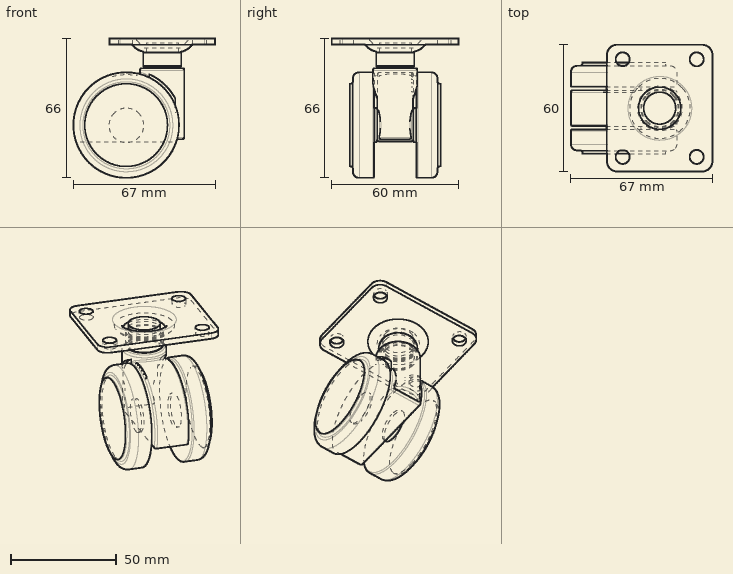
import cadquery as cq
import math


wheel_radius = 25.0
wheel_inner_y = 10.0
wheel_outer_y = 20.0
wheel_outer_fillet = 3.0
wheel_inner_fillet = 0.7
cap_outer_y = 21.6
cap_radius = 19.55
cap_base_fillet = 1.0
hub_radius = 8.2
hub_fillet = 0.8

plate_length = 2 * wheel_radius
plate_width = 60.0
plate_thickness = 3.0
plate_corner_radius = 5.0
bolt_hole_diameter = 6.5
bolt_spacing_x = 35.0
bolt_spacing_y = 46.1

overall_length = 67.0
overall_height = 66.0
swivel_x = overall_length - wheel_radius - plate_length / 2
plate_top_z = overall_height - wheel_radius
plate_bottom_z = plate_top_z - plate_thickness

dish_rim_radius = 15.1
dish_floor_radius = 10.0
dish_floor_z = 36.6
dish_shoulder_radius = 11.6
dish_shoulder_z = 39.65
dish_under_rim_radius = 14.3
dish_under_bulge_radius = 11.4
dish_under_bulge_z = 35.5
dish_under_floor_radius = 8.7
dish_under_floor_z = 34.5

pin_radius = 7.6
pin_top_z = 38.9
collar_radius = 9.05
collar_bottom_z = 27.55
collar_edge_chamfer = 0.4

drum_half_width = 8.5
housing_fillet = 1.0
joint_fillet = 0.7
column_radius = 10.5
column_top_z = 26.95
column_bottom_z = -6.7
drum_bottom_z = -7.8
wheel_clearance = 1.4


def cylinder_along_y(radius, start_y, end_y):
    """Solid cylinder on the axle between two Y positions."""
    disc = cq.Workplane("XZ", origin=(0, start_y, 0)).circle(radius)
    return disc.extrude(start_y - end_y)


def make_plate():
    """Rectangular plate with four bolt holes and a dish seated around the pin."""
    plate = (
        cq.Workplane("XY", origin=(swivel_x, 0, plate_bottom_z))
        .rect(plate_length, plate_width)
        .extrude(plate_thickness)
        .edges("|Z")
        .fillet(plate_corner_radius)
    )
    bolt_holes = (
        cq.Workplane("XY", origin=(swivel_x, 0, plate_bottom_z))
        .rect(bolt_spacing_x, bolt_spacing_y, forConstruction=True)
        .vertices()
        .circle(bolt_hole_diameter / 2)
        .extrude(plate_thickness)
    )
    plate_opening = (
        cq.Workplane("XY", origin=(swivel_x, 0, plate_bottom_z))
        .circle(dish_rim_radius)
        .extrude(plate_thickness)
    )
    dish = (
        cq.Workplane("XZ", origin=(swivel_x, 0, 0))
        .moveTo(dish_rim_radius, plate_top_z)
        .lineTo(dish_rim_radius, plate_bottom_z)
        .lineTo(dish_under_rim_radius, plate_bottom_z)
        .threePointArc(
            (dish_under_bulge_radius, dish_under_bulge_z),
            (dish_under_floor_radius, dish_under_floor_z),
        )
        .lineTo(pin_radius, dish_under_floor_z)
        .lineTo(pin_radius, dish_floor_z)
        .lineTo(dish_floor_radius, dish_floor_z)
        .threePointArc((dish_shoulder_radius, dish_shoulder_z), (dish_rim_radius, plate_top_z))
        .close()
        .revolve(360, (0, 0, 0), (0, 1, 0))
    )
    return plate.cut(bolt_holes).cut(plate_opening).union(dish)


def make_pin():
    """Pin that stands on the housing, passes through the dish and carries a collar under it."""
    shaft = (
        cq.Workplane("XY", origin=(swivel_x, 0, column_top_z))
        .circle(pin_radius)
        .extrude(pin_top_z - column_top_z)
    )
    collar = (
        cq.Workplane("XY", origin=(swivel_x, 0, collar_bottom_z))
        .circle(collar_radius)
        .extrude(dish_under_floor_z - collar_bottom_z)
        .edges()
        .chamfer(collar_edge_chamfer)
    )
    return shaft.union(collar)


def make_housing():
    """Drum between the wheels, flat at the bottom, blended into a vertical column."""
    drum = cylinder_along_y(wheel_radius, -drum_half_width, drum_half_width)
    below_drum = (
        cq.Workplane("XY", origin=(0, 0, drum_bottom_z))
        .rect(2 * wheel_radius, 2 * wheel_radius)
        .extrude(-wheel_radius)
    )
    drum = drum.cut(below_drum).edges().fillet(housing_fillet)
    column = (
        cq.Workplane("XY", origin=(swivel_x, 0, column_bottom_z))
        .circle(column_radius)
        .extrude(column_top_z - column_bottom_z)
        .edges()
        .fillet(housing_fillet)
    )
    for side in (-1, 1):
        wheel_space = cylinder_along_y(
            wheel_radius + wheel_clearance, side * drum_half_width, side * wheel_outer_y
        )
        column = column.cut(wheel_space)
    joint_x = swivel_x - column_radius
    joint_z = math.sqrt(wheel_radius**2 - joint_x**2)
    joint_edge = cq.selectors.NearestToPointSelector((joint_x, 0, joint_z))
    return drum.union(column).edges(joint_edge).fillet(joint_fillet)


def make_wheel(side):
    """Wheel with a raised cap outside and a hub that meets the drum; side is -1 or 1 along Y."""
    arc_share = 1 - math.sqrt(0.5)
    cap_fillet_mid = cap_base_fillet * arc_share
    section = (
        cq.Workplane("XY")
        .moveTo(0, side * drum_half_width)
        .lineTo(hub_radius - hub_fillet, side * drum_half_width)
        .threePointArc(
            (hub_radius - hub_fillet * arc_share, side * (drum_half_width + hub_fillet * arc_share)),
            (hub_radius, side * (drum_half_width + hub_fillet)),
        )
        .lineTo(hub_radius, side * wheel_inner_y)
        .lineTo(wheel_radius - wheel_inner_fillet, side * wheel_inner_y)
        .threePointArc(
            (
                wheel_radius - wheel_inner_fillet * arc_share,
                side * (wheel_inner_y + wheel_inner_fillet * arc_share),
            ),
            (wheel_radius, side * (wheel_inner_y + wheel_inner_fillet)),
        )
        .lineTo(wheel_radius, side * (wheel_outer_y - wheel_outer_fillet))
        .threePointArc(
            (
                wheel_radius - wheel_outer_fillet * arc_share,
                side * (wheel_outer_y - wheel_outer_fillet * arc_share),
            ),
            (wheel_radius - wheel_outer_fillet, side * wheel_outer_y),
        )
        .lineTo(cap_radius + cap_base_fillet, side * wheel_outer_y)
        .threePointArc(
            (cap_radius + cap_fillet_mid, side * (wheel_outer_y + cap_fillet_mid)),
            (cap_radius, side * (wheel_outer_y + cap_base_fillet)),
        )
        .lineTo(cap_radius, side * cap_outer_y)
        .lineTo(0, side * cap_outer_y)
        .close()
    )
    return section.revolve(360, (0, 0, 0), (0, 1, 0))


plate = make_plate()
pin = make_pin()
housing = make_housing()
wheels = [make_wheel(side) for side in (-1, 1)]

result = cq.Compound.makeCompound(
    [plate.val(), pin.val(), housing.val(), *[wheel.val() for wheel in wheels]]
)